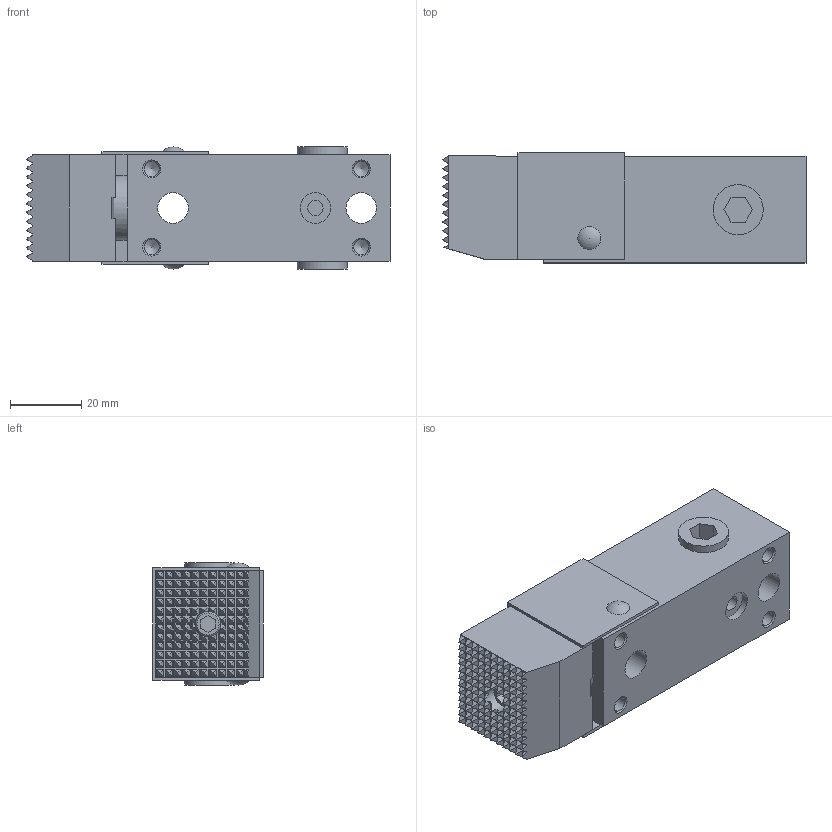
import cadquery as cq
import math

total_length = 102.5
section = 30.0
half = section / 2
body_length = 74.0
body_front = total_length - body_length
tiny_overlap = 0.5

tooth_height = 1.75
tooth_pitch = 2.5
tooth_land = 0.4
head_rear = 25.2
head_top_y = 15.3
head_bottom_y = -14.0
head_rear_bottom_y = -14.05
head_bevel_y = -11.0
head_bevel_end = 12.2
bevel_slope = (head_bevel_y - head_bottom_y) / (head_bevel_end - tooth_height)
bevel_tip_y = head_bevel_y + bevel_slope * tooth_height
head_center_y = 0.5
slot_width = 6.0
slot_depth = 1.0
slot_run = 6.0

recess_diameter = 7.2
recess_depth = 1.8
screw_edge = 0.5
screw_socket = 4.0
screw_socket_depth = 3.0

neck_diameter = 18.3
neck_y = -2.0

clip_size = 30.0
clip_thickness = 0.9
clip_front = 21.4
clip_center_y = 1.0
rivet_diameter = 6.5
rivet_x = 41.5
rivet_y = -8.0

boss_x = 83.4
boss_diameter = 14.1
boss_height = 2.2
boss_socket = 7.0
boss_socket_depth = 6.0
rivet_height = boss_height - clip_thickness

mount_diameter = 8.6
rear_hole_x = 94.4
mount_xs = (41.4, rear_hole_x)
tap_diameter = 4.3
tap_mouth_diameter = 5.1
tap_depth = 10.0
tap_xs = (35.4, rear_hole_x)
tap_z = 11.0
drill_point_angle = 118.0
access_x = 81.5
access_diameter = 4.3
access_depth = 15.0
access_bore_diameter = 8.6
access_bore_depth = 1.9


def rod(start, direction, radius, length):
    """Cylinder starting at a point and running along a direction."""
    return cq.Workplane(cq.Solid.makeCylinder(radius, length, cq.Vector(*start), cq.Vector(*direction)))


def cone(start, direction, radius_start, radius_end, length):
    """Cone or truncated cone starting at a point and running along a direction."""
    return cq.Workplane(
        cq.Solid.makeCone(radius_start, radius_end, length, cq.Vector(*start), cq.Vector(*direction))
    )


def hexagon_corners(across_flats):
    """Corner-to-corner diameter of a hexagon."""
    return across_flats / math.cos(math.pi / 6)


def ridge_profile(workplane, start, step, count):
    """Saw-tooth outline with flat lands, teeth pointing to -X, stepping along the second axis."""
    root = tooth_height
    points = [(root + tiny_overlap, start)]
    for i in range(count):
        edge = start + i * step
        side = math.copysign(tooth_land / 2, step)
        points.append((root, edge + side))
        points.append((0, edge + step / 2))
        points.append((root, edge + step - side))
    points.append((root + tiny_overlap, start + count * step))
    return workplane.polyline(points).close()


def make_teeth():
    """Grid of square pyramids: ridges along Z crossed with ridges along Y."""
    columns = math.ceil((head_top_y - bevel_tip_y) / tooth_pitch)
    rows = round(section / tooth_pitch)
    along_z = ridge_profile(cq.Workplane("XY"), head_top_y, -tooth_pitch, columns)
    along_z = along_z.extrude(half, both=True)
    along_y = ridge_profile(cq.Workplane("XZ"), -half, tooth_pitch, rows)
    along_y = along_y.extrude(section, both=True)
    return along_z.intersect(along_y)


def make_head():
    """Bevelled, toothed jaw with a shallow slot in its rear edge."""
    outline = [
        (0, head_top_y),
        (head_rear, half),
        (head_rear, head_rear_bottom_y),
        (head_bevel_end, head_bottom_y),
        (0, bevel_tip_y),
    ]
    head = cq.Workplane("XY").polyline(outline).close().extrude(half, both=True)
    front = cq.Workplane().box(2 * tooth_height, 2 * section, 2 * section)
    head = head.cut(front).union(make_teeth().intersect(head))
    slot_outline = [
        (head_rear, head_rear_bottom_y),
        (head_rear - slot_depth, head_rear_bottom_y),
        (head_rear, head_rear_bottom_y + slot_run),
    ]
    slot = cq.Workplane("XY").polyline(slot_outline).close().extrude(slot_width / 2, both=True)
    return cut_screw_recess(head.cut(slot))


def cut_screw_recess(head):
    """Round recess whose floor is the bevelled head of a hexagon socket screw."""
    floor_x = tooth_height + recess_depth
    radius = recess_diameter / 2
    recess = rod((0, head_center_y, 0), (1, 0, 0), radius, floor_x + screw_edge)
    screw_top = cone((floor_x, head_center_y, 0), (1, 0, 0), radius - screw_edge, radius, screw_edge)
    socket = (
        cq.Workplane("YZ", origin=(floor_x, head_center_y, 0))
        .transformed(rotate=(0, 0, 90))
        .polygon(6, hexagon_corners(screw_socket))
        .extrude(screw_socket_depth)
    )
    return head.cut(recess.cut(screw_top)).cut(socket)


def make_body():
    """Square body with the round neck that carries the head."""
    body = cq.Workplane().box(body_length, section, section)
    body = body.translate((body_front + body_length / 2, 0, 0))
    neck_length = body_front - head_rear + 2 * tiny_overlap
    neck = rod((head_rear - tiny_overlap, neck_y, 0), (1, 0, 0), neck_diameter / 2, neck_length)
    return body.union(neck)


def make_clip_leg_with_rivet():
    """Clip leg lying on the +Z face with a domed rivet head."""
    leg = cq.Workplane().box(clip_size, clip_size, clip_thickness)
    leg = leg.translate((clip_front + clip_size / 2, clip_center_y, half + clip_thickness / 2))
    rivet_radius = rivet_diameter / 2
    base_z = half + clip_thickness
    dome_radius = (rivet_radius**2 + rivet_height**2) / (2 * rivet_height)
    dome = (
        cq.Workplane("XZ")
        .lineTo(rivet_radius, 0)
        .radiusArc((0, rivet_height), -dome_radius)
        .close()
        .revolve(360, (0, 0), (0, 1))
        .translate((rivet_x, rivet_y, base_z))
    )
    return leg.union(dome)


def make_clip_back():
    """Back of the clip, joining its two legs behind the head and body."""
    outer_y = clip_center_y + clip_size / 2
    height = section + 2 * clip_thickness
    back = cq.Workplane().box(clip_size, outer_y - half, height)
    return back.translate((clip_front + clip_size / 2, (outer_y + half) / 2, 0))


def make_boss():
    """Round screw head on the +Z face."""
    return rod((boss_x, 0, half - tiny_overlap), (0, 0, 1), boss_diameter / 2, boss_height + tiny_overlap)


def make_boss_socket():
    """Hexagon socket in the +Z screw head."""
    top = cq.Workplane("XY", origin=(boss_x, 0, half + boss_height))
    return top.polygon(6, hexagon_corners(boss_socket)).extrude(-boss_socket_depth)


def make_tapped_hole(x, z):
    """Blind drilled hole with a countersunk mouth and a drill point."""
    radius = tap_diameter / 2
    mouth_radius = tap_mouth_diameter / 2
    inward = (0, 1, 0)
    point_length = radius / math.tan(math.radians(drill_point_angle / 2))
    hole = rod((x, -half, z), inward, radius, tap_depth)
    hole = hole.union(cone((x, -half + tap_depth, z), inward, radius, 0, point_length))
    return hole.union(cone((x, -half, z), inward, mouth_radius, radius, mouth_radius - radius))


def cut_front_holes(part):
    """Through holes, tapped holes and the counterbored access hole."""
    inward = (0, 1, 0)
    for x in mount_xs:
        part = part.cut(rod((x, -half, 0), inward, mount_diameter / 2, 2 * section))
    for x in tap_xs:
        for z in (-tap_z, tap_z):
            part = part.cut(make_tapped_hole(x, z))
    part = part.cut(rod((access_x, -half, 0), inward, access_bore_diameter / 2, access_bore_depth))
    return part.cut(rod((access_x, -half, 0), inward, access_diameter / 2, access_depth))


def add_to_both_faces(part, feature):
    """Join a feature of the +Z face and its mirror image on the -Z face."""
    return part.union(feature).union(feature.mirror("XY"))


part = make_body().union(make_head())
part = part.union(make_clip_back())
part = add_to_both_faces(part, make_clip_leg_with_rivet())
part = add_to_both_faces(part, make_boss())
socket = make_boss_socket()
part = part.cut(socket).cut(socket.mirror("XY"))
result = cut_front_holes(part)